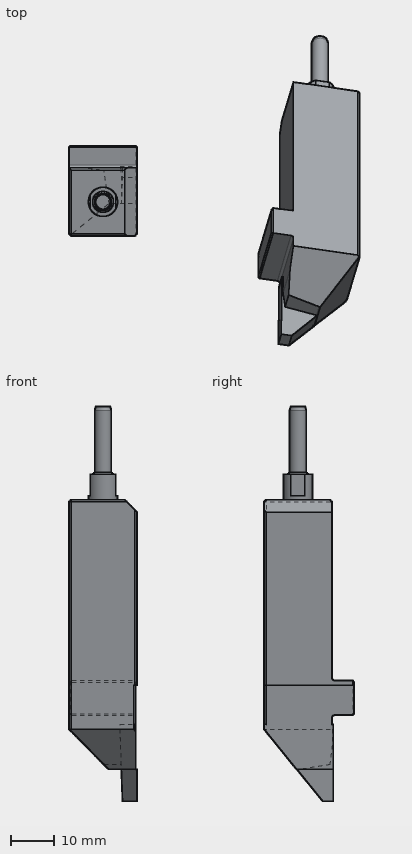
import cadquery as cq

width = 15.9
half = width / 2
shank_top = 70.2
taper_z = 16.8
edge_chamfer = 0.55
top_bevel = 2.9
heel_x = 1.3
heel_z = 7.4
heel_back_z = 8.6

key_reach = 5.1
key_bottom = 20.0
key_height = 8.1
key_root_radius = 0.6
key_edge_chamfer = 0.4

side_relief = 0.3
side_relief_top = 27.0
back_relief = 0.55
back_relief_top = 13.0

blade_back = half + 0.3
blade_tip_length = 2.6
blade_top = 17.9
blade_root_left = 4.2
blade_tip_left = 4.5
blade_setback = 0.1

collar_diameter = 6.8
collar_top = 76.0
flat_distance = 6.0
flat_bottom = shank_top + 0.9
stem_diameter = 3.95
stem_base_diameter = 4.9
stem_base_height = (stem_base_diameter - stem_diameter) / 2
stem_top = 91.8
tip_height = 0.9
tip_diameter = 3.4

blade_tip_front = blade_back - blade_tip_length
blade_upper_left = blade_tip_left - (blade_tip_left - blade_root_left) * blade_top / heel_z


def make_shank():
    """Square bar with chamfered front, top and bevelled upper +X edge."""
    shank = cq.Workplane("XY").rect(width, width).extrude(shank_top)
    shank = shank.edges("(|Z and <Y) or >Z").chamfer(edge_chamfer)
    bevel = (
        cq.Workplane("XZ")
        .moveTo(half - top_bevel, shank_top)
        .lineTo(half, shank_top)
        .lineTo(half, shank_top - top_bevel)
        .close()
        .extrude(half, both=True)
    )
    return shank.cut(bevel)


def make_key():
    """Rectangular key with chamfered outer edges."""
    key = cq.Workplane("XY").box(width, key_reach, key_height, centered=(True, False, False))
    key = key.faces(">Y").edges().chamfer(key_edge_chamfer)
    return key.translate((0, half, key_bottom))


def side_relief_cut():
    """Thin slab off the +X face, with the front edge chamfered again below it."""
    relieved_side = half - side_relief
    overall_back = half + key_reach
    return (
        cq.Workplane("XY")
        .workplane(offset=heel_z)
        .moveTo(half, -half)
        .lineTo(relieved_side - edge_chamfer, -half)
        .lineTo(relieved_side, edge_chamfer - half)
        .lineTo(relieved_side, overall_back)
        .lineTo(half, overall_back)
        .close()
        .extrude(side_relief_top - heel_z)
    )


def shank_lower_outline():
    """XZ envelope that gives the left slope and the lower heel."""
    return (
        cq.Workplane("XZ")
        .moveTo(-half, shank_top)
        .lineTo(-half, taper_z)
        .lineTo(heel_x, heel_z)
        .lineTo(half, heel_z)
        .lineTo(half, shank_top)
        .close()
        .extrude(half + key_reach, both=True)
    )


def bottom_and_back_cut():
    """Rising bottom face and the small relief behind it."""
    relieved_back = half - back_relief
    return (
        cq.Workplane("YZ")
        .moveTo(0, heel_z)
        .lineTo(relieved_back, heel_back_z)
        .lineTo(half, back_relief_top)
        .lineTo(half, 0)
        .lineTo(0, 0)
        .close()
        .extrude(half, both=True)
    )


def front_slope_cut():
    """Material in front of the plane from the shank face to the blade tip."""
    return (
        cq.Workplane("YZ")
        .moveTo(-half, taper_z)
        .lineTo(blade_tip_front, 0)
        .lineTo(-half, 0)
        .close()
        .extrude(half, both=True)
    )


def make_blade():
    """Blade narrowing towards its tip, slightly proud of the back face."""
    side_profile = (
        cq.Workplane("YZ")
        .moveTo(blade_tip_front + blade_setback, 0)
        .lineTo(blade_back, 0)
        .lineTo(blade_back, blade_top)
        .lineTo(blade_setback - half, blade_top)
        .lineTo(blade_setback - half, taper_z)
        .close()
        .extrude(half, both=True)
    )
    front_profile = (
        cq.Workplane("XZ")
        .moveTo(blade_tip_left, 0)
        .lineTo(half, 0)
        .lineTo(half, heel_z)
        .lineTo(half - side_relief, heel_z)
        .lineTo(half - side_relief, blade_top)
        .lineTo(blade_upper_left, blade_top)
        .close()
        .extrude(blade_back, both=True)
    )
    return side_profile.intersect(front_profile)


def make_holder():
    """Shank, key and blade as one solid."""
    selection_margin = 0.01
    holder = make_shank().union(make_key())
    root_edges = cq.selectors.BoxSelector(
        (-width, half - selection_margin, key_bottom - selection_margin),
        (width, half + selection_margin, key_bottom + key_height + selection_margin),
        boundingbox=True,
    )
    holder = holder.edges(root_edges).edges("|X").fillet(key_root_radius)
    holder = holder.cut(side_relief_cut()).intersect(shank_lower_outline())
    holder = holder.cut(bottom_and_back_cut()).cut(front_slope_cut())
    return holder.union(make_blade())


def make_fitting():
    """Turned stem on a collar with two wrench flats, seated on the shank."""
    fitting = (
        cq.Workplane("XZ")
        .moveTo(0, shank_top)
        .lineTo(collar_diameter / 2, shank_top)
        .lineTo(collar_diameter / 2, collar_top)
        .lineTo(stem_base_diameter / 2, collar_top)
        .lineTo(stem_diameter / 2, collar_top + stem_base_height)
        .lineTo(stem_diameter / 2, stem_top - tip_height)
        .lineTo(tip_diameter / 2, stem_top)
        .lineTo(0, stem_top)
        .close()
        .revolve(360, (0, 0, 0), (0, 1, 0))
    )
    for side in (-1, 1):
        flat = cq.Workplane("XY").box(
            collar_diameter, collar_diameter, collar_top - flat_bottom, centered=(True, True, False)
        )
        flat_offset = (flat_distance + collar_diameter) / 2
        fitting = fitting.cut(flat.translate((side * flat_offset, 0, flat_bottom)))
    return fitting


holder = make_holder()
fitting = make_fitting()

result = cq.Compound.makeCompound([holder.val(), fitting.val()])